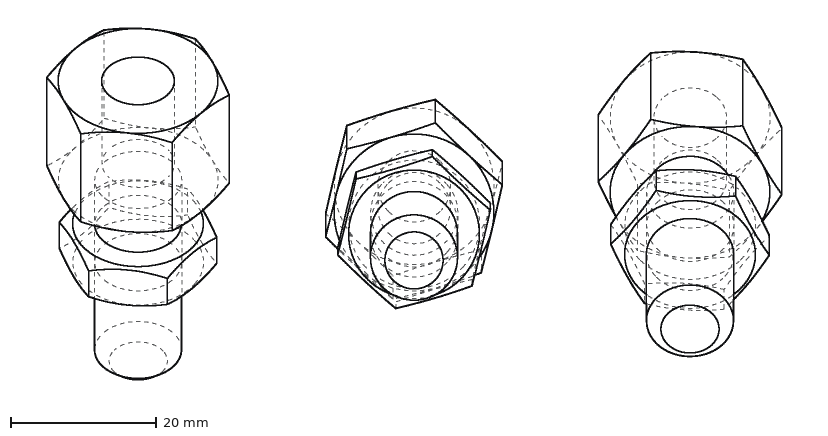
import cadquery as cq
import math

TOTAL_LENGTH = 51.0
HEAD_FLATS = 22.0
HEAD_HEIGHT = 18.0
BORE_DIAMETER = 10.0
BORE_DEPTH = 15.0
SHANK_DIAMETER = 12.0
TIP_CHAMFER = 2.0

NUT_FLATS = 18.95
NUT_HEIGHT = 7.0
NUT_BOTTOM = 18.0
NUT_FACE_DIAMETER = 18.0

CORNER_ANGLE = 30.0
HALF_SIDE_ANGLE = 30.0


def chamfered_hexagon(flats, height, face_diameter):
    """Hexagonal prism on Z = 0, flats facing X, with both ends turned to a cone."""
    corners = flats / math.cos(math.radians(HALF_SIDE_ANGLE))
    face_radius = face_diameter / 2
    corner_radius = corners / 2
    drop = (corner_radius - face_radius) * math.tan(math.radians(CORNER_ANGLE))
    prism = (
        cq.Workplane("XY")
        .polygon(6, corners)
        .extrude(height)
        .rotate((0, 0, 0), (0, 0, 1), HALF_SIDE_ANGLE)
    )
    turned_blank = (
        cq.Workplane("XZ")
        .moveTo(0, 0)
        .lineTo(face_radius, 0)
        .lineTo(corner_radius, drop)
        .lineTo(corner_radius, height - drop)
        .lineTo(face_radius, height)
        .lineTo(0, height)
        .close()
        .revolve(360, (0, 0, 0), (0, 1, 0))
    )
    return prism.intersect(turned_blank)


def make_stud():
    head_bottom = TOTAL_LENGTH - HEAD_HEIGHT
    shank = (
        cq.Workplane("XY")
        .circle(SHANK_DIAMETER / 2)
        .extrude(head_bottom)
        .faces("<Z")
        .chamfer(TIP_CHAMFER)
    )
    head = chamfered_hexagon(HEAD_FLATS, HEAD_HEIGHT, HEAD_FLATS).translate((0, 0, head_bottom))
    bore = (
        cq.Workplane("XY")
        .workplane(offset=TOTAL_LENGTH - BORE_DEPTH)
        .circle(BORE_DIAMETER / 2)
        .extrude(BORE_DEPTH)
    )
    return shank.union(head).cut(bore)


def make_nut():
    hexagon = chamfered_hexagon(NUT_FLATS, NUT_HEIGHT, NUT_FACE_DIAMETER)
    shank_hole = cq.Workplane("XY").circle(SHANK_DIAMETER / 2).extrude(NUT_HEIGHT)
    return hexagon.cut(shank_hole).translate((0, 0, NUT_BOTTOM))


stud = make_stud()
nut = make_nut()

result = cq.Compound.makeCompound([stud.val(), nut.val()])